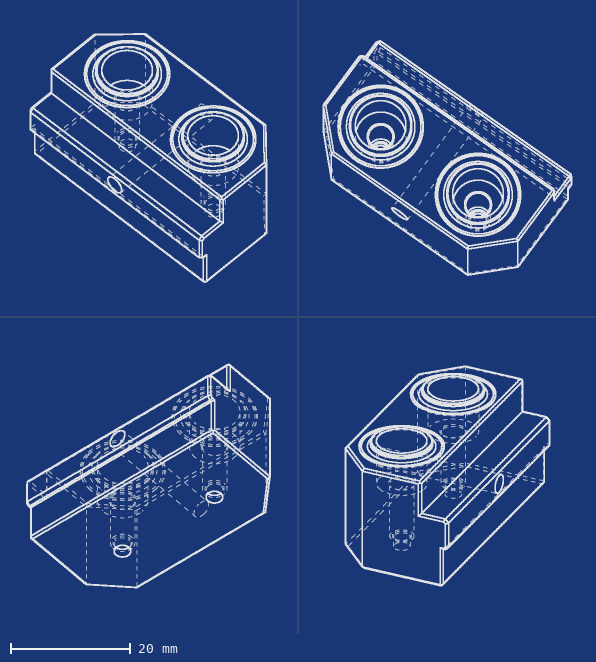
import cadquery as cq

width = 40.0
depth = 21.75
total_height = 20.0
rim_height = 1.0
block_height = total_height - rim_height
corner_cut = 6.0

ledge_bottom = 7.05
ledge_top = 12.9
upper_wall_y = -16.75
lower_wall_y = -20.75
ledge_chamfer = 0.6
edge_chamfer = 0.4

bushing_spacing = 20.0
bushing_y = -8.5

rim_radius = 10.45 / 2
rim_flare = 0.5
rim_chamfer = 0.2

groove_outer_radius = 7.125
groove_bottom_radius = 7.0
groove_inner_radius = 6.725
groove_depth = groove_bottom_radius - groove_inner_radius

bore_radius = 8.45 / 2
bore_floor = 12.0
step_radius = 4.1 / 2
step_floor = 2.0
step_chamfer = 0.2
through_radius = 2.8 / 2
through_mouth_radius = 3.2 / 2

cross_hole_diameter = 3.2
cross_hole_z = 10.0


def make_block():
    """Stepped block with cut back corners and chamfered edges."""
    front = -depth
    profile = [
        (0, 0),
        (lower_wall_y, 0),
        (lower_wall_y, ledge_bottom),
        (front + ledge_chamfer, ledge_bottom),
        (front, ledge_bottom + ledge_chamfer),
        (front, ledge_top - ledge_chamfer),
        (front + ledge_chamfer, ledge_top),
        (upper_wall_y, ledge_top),
        (upper_wall_y, block_height),
        (0, block_height),
    ]
    block = cq.Workplane("YZ").polyline(profile).close().extrude(width / 2, both=True)
    block = block.edges("|Z and >Y").chamfer(corner_cut)

    block = block.faces("<Z or >Z").edges().chamfer(edge_chamfer)

    front_rims = [
        edge
        for edge in block.faces("<X or >X").edges().vals()
        if edge.Center().y < -corner_cut - edge_chamfer
        and 2 * edge_chamfer < edge.Center().z < block_height - 2 * edge_chamfer
    ]
    return block.newObject(front_rims).chamfer(edge_chamfer)


def revolve_about_z(profile):
    """Solid of revolution from (radius, height) points."""
    return cq.Workplane("XZ").polyline(profile).close().revolve(360, (0, 0, 0), (0, 1, 0))


def make_rim():
    top = block_height + rim_height
    return revolve_about_z([
        (0, block_height),
        (rim_radius + rim_flare, block_height),
        (rim_radius, block_height + rim_flare),
        (rim_radius, top - rim_chamfer),
        (rim_radius - rim_chamfer, top),
        (0, top),
    ])


def make_groove():
    return revolve_about_z([
        (groove_inner_radius, block_height),
        (groove_bottom_radius, block_height - groove_depth),
        (groove_outer_radius, block_height),
    ])


def make_bore():
    mouth_depth = through_mouth_radius - through_radius
    return revolve_about_z([
        (0, 0),
        (through_radius, 0),
        (through_radius, step_floor - mouth_depth),
        (through_mouth_radius, step_floor),
        (step_radius, step_floor),
        (step_radius, bore_floor - step_chamfer),
        (step_radius + step_chamfer, bore_floor),
        (bore_radius, bore_floor),
        (bore_radius, total_height),
        (0, total_height),
    ])


def make_cross_hole():
    sketch = cq.Workplane("XZ").center(0, cross_hole_z)
    return sketch.circle(cross_hole_diameter / 2).extrude(depth)


result = make_block().cut(make_cross_hole())
for x in (-bushing_spacing / 2, bushing_spacing / 2):
    seat = (x, bushing_y, 0)
    result = result.union(make_rim().translate(seat))
    result = result.cut(make_groove().translate(seat))
    result = result.cut(make_bore().translate(seat))